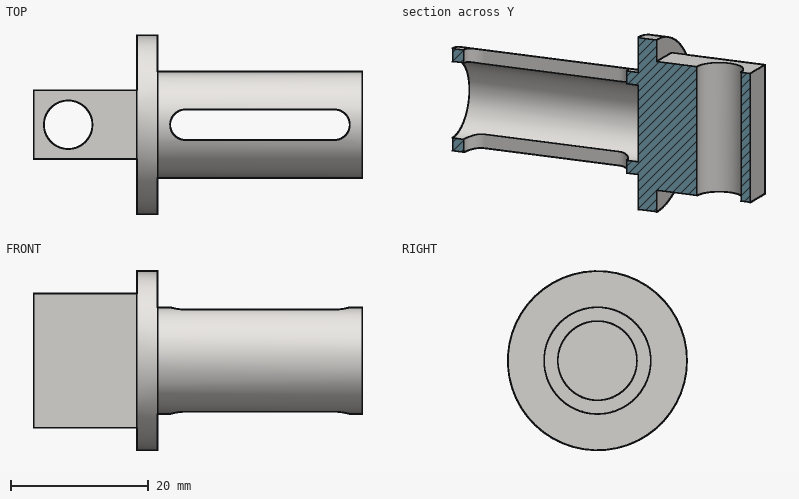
import cadquery as cq

total_length = 47.65
block_length = 14.95
block_width = 10.0
block_height = 19.5
eye_diameter = 7.0
eye_from_end = 5.0

flange_diameter = 26.0
flange_thickness = 3.0

tube_diameter = 15.5
bore_diameter = 11.5
tube_length = total_length - block_length - flange_thickness

slot_width = 4.4
slot_length = 26.0
slot_center = flange_thickness + tube_length / 2


def x_cylinder(diameter, start, length):
    """Cylinder on the X axis, running in +X from start."""
    return cq.Workplane("YZ", origin=(start, 0, 0)).circle(diameter / 2).extrude(length)


def make_block():
    block = cq.Workplane("XY").box(block_length, block_width, block_height)
    block = block.translate((-block_length / 2, 0, 0))
    eye = (
        cq.Workplane("XY")
        .center(eye_from_end - block_length, 0)
        .circle(eye_diameter / 2)
        .extrude(block_height, both=True)
    )
    return block.cut(eye)


def make_tube():
    tube = x_cylinder(tube_diameter, flange_thickness, tube_length)
    bore = x_cylinder(bore_diameter, flange_thickness, tube_length)
    slot = (
        cq.Workplane("XY")
        .center(slot_center, 0)
        .slot2D(slot_length, slot_width)
        .extrude(tube_diameter, both=True)
    )
    return tube.cut(bore).cut(slot)


flange = x_cylinder(flange_diameter, 0, flange_thickness)
result = flange.union(make_block()).union(make_tube())